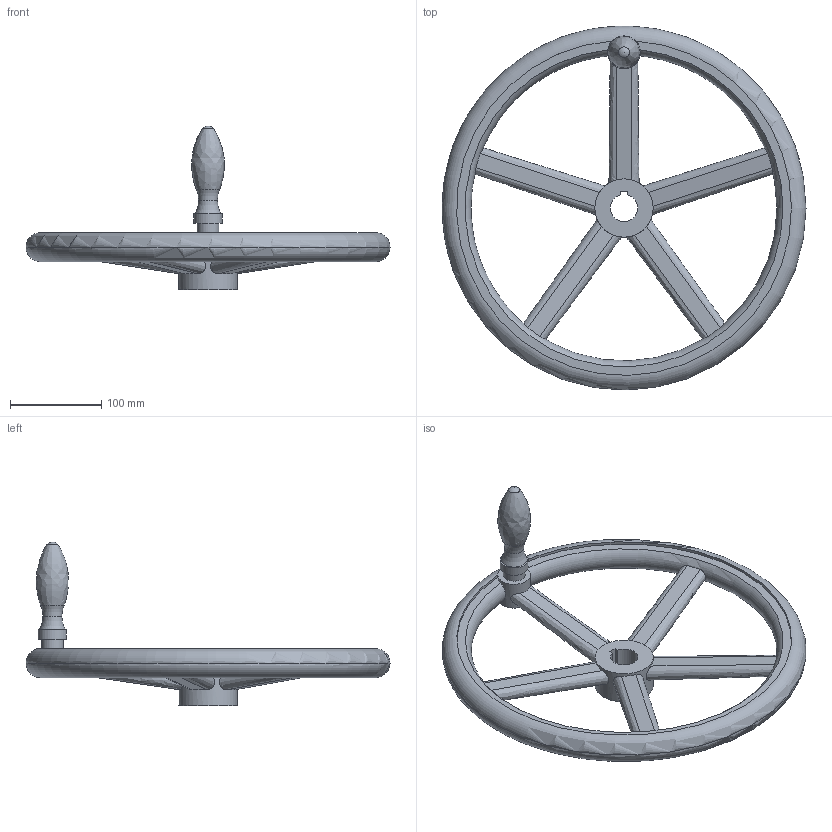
import cadquery as cq
import math


rim_outer_radius = 200.0
rim_section_radius = 16.0
rim_step_depth = 3.0
rim_centre_radius = rim_outer_radius - rim_section_radius
rim_step_height = rim_section_radius - rim_step_depth

hub_radius = 32.0
hub_bottom = -47.0
hub_height = 38.0
bore_radius = 15.0
key_width = 8.0
key_top = 18.3

spoke_count = 5
spoke_pitch = 360 / spoke_count
spoke_flat_width = 16.0
spoke_inner_radius = 25.0
spoke_inner_height = -21.5
spoke_inner_thickness = 17.2
spoke_outer_thickness = 14.0

boss_radius = 18.0
boss_y = 171.0

overall_height = 179.97
handle_base = rim_section_radius
handle_length = hub_bottom + overall_height - handle_base
stem_radius = 12.0
collar_radius = 15.5
collar_bottom = 10.4
collar_top = 20.5
flare_radius = 14.2
neck_radius = 10.4
neck_height = 35.7
grip_start_radius = 13.0
grip_start_height = 47.8
grip_max_radius = 18.0
grip_max_height = 74.0
tip_radius = 6.0
tip_height = 114.5


def make_rim():
    """Ring of round section; the step leaves a wall below the crest and a flat inside it."""
    diagonal = rim_section_radius * math.sqrt(0.5)
    step_inner_offset = math.sqrt(rim_section_radius**2 - rim_step_height**2)
    step_angle = math.atan2(rim_step_height, step_inner_offset)
    inner_middle = (
        rim_centre_radius - rim_section_radius * math.cos(step_angle / 2),
        rim_section_radius * math.sin(step_angle / 2),
    )
    return (
        cq.Workplane("XZ")
        .moveTo(rim_centre_radius, rim_step_height)
        .lineTo(rim_centre_radius, rim_section_radius)
        .threePointArc((rim_centre_radius + diagonal, diagonal), (rim_outer_radius, 0))
        .threePointArc(
            (rim_centre_radius, -rim_section_radius),
            (rim_centre_radius - rim_section_radius, 0),
        )
        .threePointArc(inner_middle, (rim_centre_radius - step_inner_offset, rim_step_height))
        .close()
        .revolve(360, (0, 0, 0), (0, 1, 0))
    )


def make_hub():
    return cq.Workplane("XY").workplane(offset=hub_bottom).circle(hub_radius).extrude(hub_height)


def make_bore():
    bore = cq.Workplane("XY").workplane(offset=hub_bottom).circle(bore_radius).extrude(hub_height)
    keyway = (
        cq.Workplane("XY")
        .workplane(offset=hub_bottom)
        .center(0, key_top / 2)
        .rect(key_width, key_top)
        .extrude(hub_height)
    )
    return bore.union(keyway)


def make_spoke():
    """Spoke along +Y, rising from the hub to the middle of the rim section."""
    inner_width = spoke_flat_width + spoke_inner_thickness
    outer_width = spoke_flat_width + spoke_outer_thickness
    return (
        cq.Workplane("XZ", origin=(0, spoke_inner_radius, spoke_inner_height))
        .slot2D(inner_width, spoke_inner_thickness)
        .workplane(offset=spoke_inner_radius - rim_centre_radius)
        .center(0, -spoke_inner_height)
        .slot2D(outer_width, spoke_outer_thickness)
        .loft(ruled=True)
    )


def make_boss():
    """Cylinder as tall as the rim section, flush with its crest and its underside."""
    return (
        cq.Workplane("XY", origin=(0, boss_y, -rim_section_radius))
        .circle(boss_radius)
        .extrude(2 * rim_section_radius)
    )


def neck_arc_middle(end_radius, end_height):
    """Middle point of the arc that leaves the neck parallel to the handle axis."""
    rise = end_height - neck_height
    spread = end_radius - neck_radius
    arc_radius = (rise**2 + spread**2) / (2 * spread)
    half_angle = math.asin(rise / arc_radius) / 2
    return (
        neck_radius + arc_radius * (1 - math.cos(half_angle)),
        neck_height + arc_radius * math.sin(half_angle),
    )


def make_handle():
    """Turned handle whose stem runs down through the boss to mid height."""
    tip_rise = handle_length - tip_height
    dome_radius = (tip_radius**2 + tip_rise**2) / (2 * tip_rise)
    dome_half_angle = math.asin(tip_radius / dome_radius) / 2
    dome_middle = (
        dome_radius * math.sin(dome_half_angle),
        handle_length - dome_radius * (1 - math.cos(dome_half_angle)),
    )
    return (
        cq.Workplane("XZ", origin=(0, boss_y, handle_base))
        .moveTo(0, -handle_base)
        .lineTo(stem_radius, -handle_base)
        .lineTo(stem_radius, collar_bottom)
        .lineTo(collar_radius, collar_bottom)
        .lineTo(collar_radius, collar_top)
        .lineTo(flare_radius, collar_top)
        .threePointArc(neck_arc_middle(flare_radius, collar_top), (neck_radius, neck_height))
        .threePointArc(
            neck_arc_middle(grip_start_radius, grip_start_height),
            (grip_start_radius, grip_start_height),
        )
        .threePointArc((grip_max_radius, grip_max_height), (tip_radius, tip_height))
        .threePointArc(dome_middle, (0, handle_length))
        .close()
        .revolve(360, (0, 0, 0), (0, 1, 0))
    )


wheel = make_rim().union(make_hub())
for index in range(spoke_count):
    wheel = wheel.union(make_spoke().rotate((0, 0, 0), (0, 0, 1), index * spoke_pitch))
wheel = wheel.cut(make_bore())

result = wheel.union(make_boss()).union(make_handle())